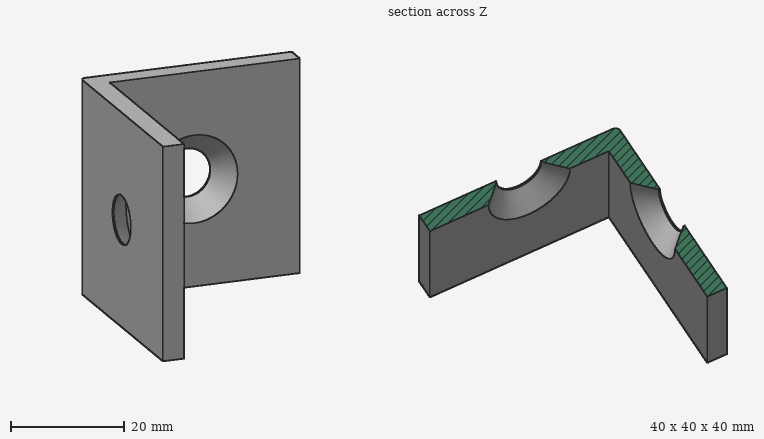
import cadquery as cq

side = 40.0
thickness = 4.0
hole_diameter = 9.0
corner_radius = 1.0
countersink_diameter = 16.4

countersink_depth = (countersink_diameter - hole_diameter) / 2


def angle_body():
    """Two equal legs meeting at the origin, with a rounded outer corner edge."""
    profile = (
        cq.Workplane("XY")
        .moveTo(0, 0)
        .lineTo(side, 0)
        .lineTo(side, thickness)
        .lineTo(thickness, thickness)
        .lineTo(thickness, side)
        .lineTo(0, side)
        .close()
    )
    return profile.extrude(side).edges("|Z").edges("<X and <Y").fillet(corner_radius)


def countersunk_hole(inward):
    """Cutter through one leg, centred on its outer face and widening at its inner face."""
    axis = cq.Vector(*inward)
    middle = cq.Vector(side / 2, side / 2, side / 2)
    outer_center = middle - axis * (side / 2)
    cone_start = outer_center + axis * (thickness - countersink_depth)
    bore = cq.Solid.makeCylinder(hole_diameter / 2, thickness, outer_center, axis)
    cone = cq.Solid.makeCone(
        hole_diameter / 2, countersink_diameter / 2, countersink_depth, cone_start, axis
    )
    return bore.fuse(cone)


result = angle_body()
for inward in ((1, 0, 0), (0, 1, 0)):
    result = result.cut(countersunk_hole(inward))